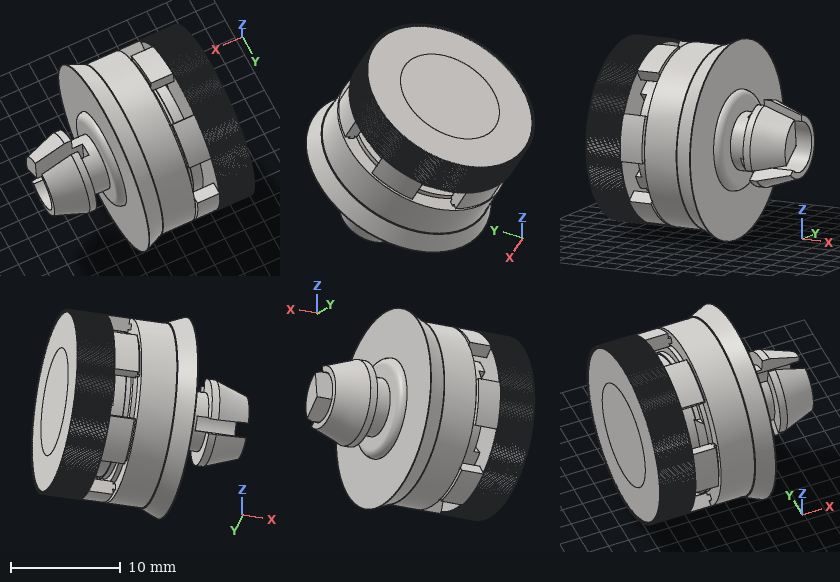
import cadquery as cq
import math


cap_length = 3.5
knurl_tip_diameter = 17.0
knurl_root_diameter = 16.5
knurl_count = 400
insert_diameter = 9.94
insert_depth = 0.55

finger_count = 6
finger_arc = 30.0
finger_center = 7.5
finger_outer_diameter = 16.98
finger_inner_diameter = 14.4
finger_end = 5.76
tongue_outer_diameter = 15.95
tongue_inner_diameter = 14.86

housing_diameter = knurl_tip_diameter
housing_start = 6.0
housing_end = 9.3
boss_diameter = 14.2
boss_start = 5.57

skirt_small_diameter = 17.17
skirt_large_diameter = 18.6
skirt_end = 11.13
skirt_land = 0.07

drum_diameter = 12.43
window_floor = 4.09
collar_diameter = 12.7
collar_start = 5.13
post_count = 4
post_arc = 15.0
post_center = 52.5
post_inner_diameter = 7.25
lug_start = 5.0
lug_width = 3.57

hub_diameter = 9.36
hub_end = 11.84
hub_round = 0.7
neck_diameter = 5.45
head_start = 13.8
head_land_end = 14.51
head_diameter = 8.0
tip_diameter = 5.87
spindle_end = 17.55
slot_width = 1.35
slot_angles = (-37.5, 82.5)
slot_start = 12.78
bore_diameter = 4.68


def cylinder(diameter, start, end):
    return cq.Workplane("YZ", origin=(start, 0, 0)).circle(diameter / 2).extrude(end - start)


def revolved(profile):
    """Turn a closed (x, radius) outline once around the X axis."""
    return profile.close().revolve(360, (0, 0, 0), (1, 0, 0))


def point_at(radius, angle):
    """Local (y, z) of a point at an angle measured from -Y towards +Z."""
    turn = math.radians(angle)
    return (-radius * math.cos(turn), radius * math.sin(turn))


def ring_sector(inner_diameter, outer_diameter, first_angle, last_angle, start, end):
    """A piece of a ring with radial side walls."""
    middle = (first_angle + last_angle) / 2
    inner = inner_diameter / 2
    outer = outer_diameter / 2
    return (
        cq.Workplane("YZ", origin=(start, 0, 0))
        .moveTo(*point_at(inner, first_angle))
        .lineTo(*point_at(outer, first_angle))
        .threePointArc(point_at(outer, middle), point_at(outer, last_angle))
        .lineTo(*point_at(inner, last_angle))
        .threePointArc(point_at(inner, middle), point_at(inner, first_angle))
        .close()
        .extrude(end - start)
    )


def knurled_disc():
    pitch = 360 / knurl_count
    outline = []
    for tooth in range(knurl_count):
        outline.append(point_at(knurl_tip_diameter / 2, tooth * pitch))
        outline.append(point_at(knurl_root_diameter / 2, (tooth + 0.5) * pitch))
    return cq.Workplane("YZ").polyline(outline).close().extrude(cap_length)


def finger(center):
    """One finger, ending in a thinner tongue that rests on the housing."""
    first = center - finger_arc / 2
    last = center + finger_arc / 2
    block = ring_sector(finger_inner_diameter, finger_outer_diameter, first, last, cap_length, finger_end)
    tongue = ring_sector(tongue_inner_diameter, tongue_outer_diameter, first, last, finger_end, housing_start)
    return block.union(tongue)


def make_cap():
    cap = knurled_disc().cut(cylinder(insert_diameter, 0, insert_depth))
    for index in range(finger_count):
        cap = cap.union(finger(finger_center + index * 360 / finger_count))
    return cap


def make_insert():
    return cylinder(insert_diameter, 0, insert_depth)


def make_housing():
    body = cylinder(housing_diameter, housing_start, housing_end)
    boss = cylinder(boss_diameter, boss_start, housing_start)
    return body.union(boss).cut(cylinder(hub_diameter, boss_start, housing_end))


def make_skirt():
    small = skirt_small_diameter / 2
    large = skirt_large_diameter / 2
    profile = (
        cq.Workplane("XY")
        .moveTo(housing_end, hub_diameter / 2)
        .lineTo(housing_end, small)
        .lineTo(housing_end + skirt_land, small)
        .lineTo(skirt_end - skirt_land, large)
        .lineTo(skirt_end, large)
        .lineTo(skirt_end, hub_diameter / 2)
    )
    return revolved(profile)


def turned_spindle():
    """Drum, collar, rounded hub, neck and snap head in one turned outline."""
    hub = hub_diameter / 2
    neck = neck_diameter / 2
    head = head_diameter / 2
    round_middle = hub_round * math.sqrt(0.5)
    profile = (
        cq.Workplane("XY")
        .moveTo(cap_length, 0)
        .lineTo(cap_length, drum_diameter / 2)
        .lineTo(collar_start, drum_diameter / 2)
        .lineTo(collar_start, collar_diameter / 2)
        .lineTo(boss_start, collar_diameter / 2)
        .lineTo(boss_start, hub)
        .lineTo(hub_end - hub_round, hub)
        .threePointArc(
            (hub_end - hub_round + round_middle, hub - hub_round + round_middle),
            (hub_end, hub - hub_round),
        )
        .lineTo(hub_end, neck)
        .lineTo(head_start, neck)
        .lineTo(head_start, head)
        .lineTo(head_land_end, head)
        .lineTo(spindle_end, tip_diameter / 2)
        .lineTo(spindle_end, 0)
    )
    return revolved(profile)


def make_lug():
    """Ramp from the drum up to the height of the boss, on one side of a finger's middle plane."""
    ramp = revolved(
        cq.Workplane("XY")
        .moveTo(lug_start, hub_diameter / 2)
        .lineTo(lug_start, drum_diameter / 2)
        .lineTo(boss_start, boss_diameter / 2)
        .lineTo(boss_start, hub_diameter / 2)
    )
    reach = (
        cq.Workplane("XY")
        .box(boss_start - lug_start, boss_diameter / 2, lug_width, centered=False)
        .translate((lug_start, -boss_diameter / 2, 0))
        .rotate((0, 0, 0), (1, 0, 0), -finger_center)
    )
    return ramp.intersect(reach)


def crown_cuts():
    """Cutters that open the front of the drum and part its rim into posts."""
    pitch = 360 / post_count
    window_inner_diameter = post_inner_diameter / 2
    cuts = [cylinder(post_inner_diameter, cap_length, window_floor)]
    for index in range(post_count):
        first = post_center + post_arc / 2 + index * pitch
        last = first + pitch - post_arc
        window = ring_sector(window_inner_diameter, collar_diameter, first, last, cap_length, window_floor)
        cuts.append(window)
    return cuts


def snap_slot(angle):
    """Cutter for one lengthwise slot, running from the axis out through the head."""
    length = spindle_end - slot_start
    return (
        cq.Workplane("XY")
        .box(length, head_diameter, slot_width, centered=(False, False, True))
        .translate((slot_start, -head_diameter, 0))
        .rotate((0, 0, 0), (1, 0, 0), -angle)
    )


def head_bore():
    """Bore cutter that leaves the leg between the two slots solid up to its inner edge."""
    length = spindle_end - slot_start
    first, last = slot_angles
    middle = (first + last) / 2
    edge_y, edge_z = point_at(slot_width / 2 / math.sin(math.radians(last - middle)), middle)
    first_y, first_z = point_at(bore_diameter, first)
    last_y, last_z = point_at(bore_diameter, last)
    leg = (
        cq.Workplane("YZ", origin=(slot_start, 0, 0))
        .moveTo(edge_y, edge_z)
        .lineTo(edge_y + first_y, edge_z + first_z)
        .lineTo(edge_y + last_y, edge_z + last_z)
        .close()
        .extrude(length)
    )
    return cylinder(bore_diameter, slot_start, spindle_end).cut(leg)


def make_spindle():
    spindle = turned_spindle()
    for cut in crown_cuts():
        spindle = spindle.cut(cut)
    spindle = spindle.union(make_lug())
    for angle in slot_angles:
        spindle = spindle.cut(snap_slot(angle))
    return spindle.cut(head_bore())


cap = make_cap()
insert = make_insert()
housing = make_housing()
skirt = make_skirt()
spindle = make_spindle()

result = cq.Compound.makeCompound([cap.val(), insert.val(), housing.val(), skirt.val(), spindle.val()])